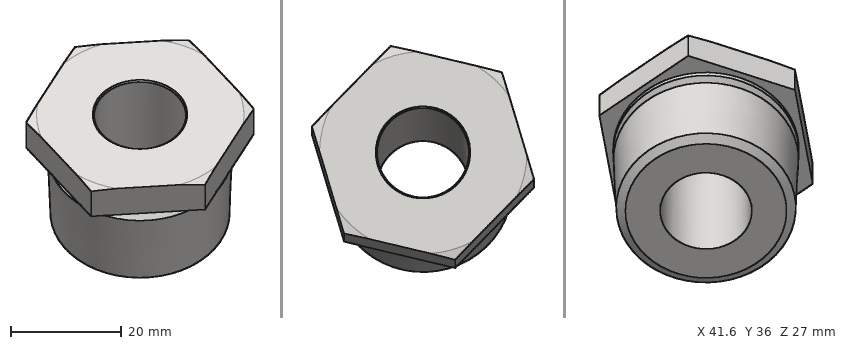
import math

import cadquery as cq

hexagon_sides = 6
across_flats = 36.0
head_height = 7.0
bevel_circle_diameter = 37.7
bevel_angle = 10.0
bevel_cone_margin = 1.0

shank_length = 20.0
collar_radius = 16.9
collar_height = 1.0

flank_angle = 30.0
groove_apex_depth = 2.0
groove_root_fillet = 0.36

taper_on_radius = 1 / 32
tip_body_radius = 16.3
tip_chamfer_radius = 14.65
tip_chamfer_angle = 30.0

bore_diameter = 16.66
bore_chamfer = 0.27


def slope(angle_degrees):
    """Rise per unit of run for an angle given in degrees."""
    return math.tan(math.radians(angle_degrees))


def bevelled_head():
    """Hexagon with its top corners cut by a shallow cone."""
    across_corners = across_flats / math.cos(math.pi / hexagon_sides)
    hexagon = cq.Workplane("XY").polygon(hexagon_sides, across_corners).extrude(head_height)
    top_radius = bevel_circle_diameter / 2
    outer_radius = across_corners / 2 + bevel_cone_margin
    cone_drop = (outer_radius - top_radius) * slope(bevel_angle)
    cone_envelope = (
        cq.Workplane("XZ")
        .lineTo(outer_radius, 0)
        .lineTo(outer_radius, head_height - cone_drop)
        .lineTo(top_radius, head_height)
        .lineTo(0, head_height)
        .close()
        .revolve(360, (0, 0, 0), (0, 1, 0))
    )
    return hexagon.intersect(cone_envelope)


def grooved_shank():
    """Collar, round-bottomed groove, tapered body and tip chamfer, revolved as one."""
    flank_slope = slope(flank_angle)
    apex_radius = collar_radius - groove_apex_depth
    apex_z = -collar_height - groove_apex_depth * flank_slope

    flank = math.radians(flank_angle)
    root_center_radius = apex_radius + groove_root_fillet / math.sin(flank)
    tangent_radius = root_center_radius - groove_root_fillet * math.sin(flank)
    tangent_offset = groove_root_fillet * math.cos(flank)
    root_radius = root_center_radius - groove_root_fillet

    taper_radius_at_apex = tip_body_radius + taper_on_radius * (shank_length + apex_z)
    flank_width = (taper_radius_at_apex - apex_radius) / (1 + taper_on_radius * flank_slope)
    body_end_radius = apex_radius + flank_width
    body_end_z = apex_z - flank_width * flank_slope

    chamfer_slope = slope(tip_chamfer_angle)
    chamfer_width = (tip_body_radius - tip_chamfer_radius) / (1 - taper_on_radius * chamfer_slope)
    chamfer_top_radius = tip_chamfer_radius + chamfer_width
    chamfer_top_z = -shank_length + chamfer_width * chamfer_slope

    return (
        cq.Workplane("XZ")
        .lineTo(collar_radius, 0)
        .lineTo(collar_radius, -collar_height)
        .lineTo(tangent_radius, apex_z + tangent_offset)
        .threePointArc((root_radius, apex_z), (tangent_radius, apex_z - tangent_offset))
        .lineTo(body_end_radius, body_end_z)
        .lineTo(chamfer_top_radius, chamfer_top_z)
        .lineTo(tip_chamfer_radius, -shank_length)
        .lineTo(0, -shank_length)
        .close()
        .revolve(360, (0, 0, 0), (0, 1, 0))
    )


def bore_cutter():
    """Through bore with a chamfered mouth in the head."""
    bore_radius = bore_diameter / 2
    return (
        cq.Workplane("XZ")
        .moveTo(0, -shank_length)
        .lineTo(bore_radius, -shank_length)
        .lineTo(bore_radius, head_height - bore_chamfer)
        .lineTo(bore_radius + bore_chamfer, head_height)
        .lineTo(0, head_height)
        .close()
        .revolve(360, (0, 0, 0), (0, 1, 0))
    )


result = bevelled_head().union(grooved_shank()).cut(bore_cutter())